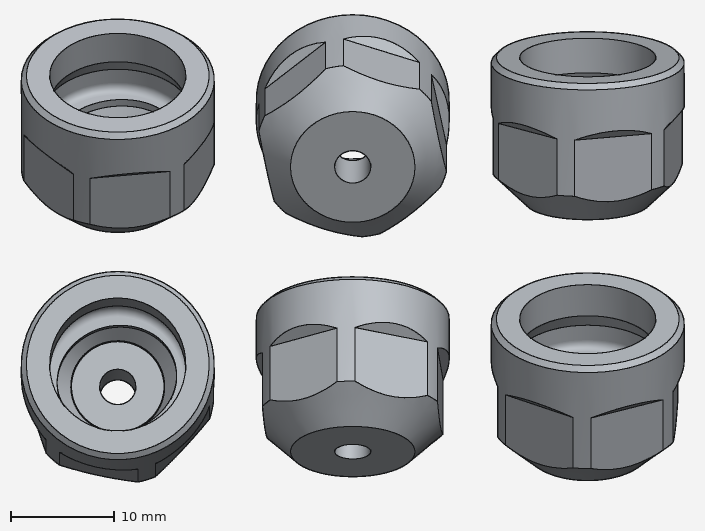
import cadquery as cq
import math

body_radius = 9.35
height = 14.6
top_chamfer = 0.5
base_radius = 6.02
base_chamfer = body_radius - base_radius

flat_count = 6
across_flats = 17.0
flat_top = 9.0
first_flat_angle = 30.0
cutter_margin = 0.19

bore_radius = 13.18 / 2
groove_radius = 14.5 / 2
bore_bottom = 11.1
groove_top = 9.67
bore_floor = 7.16
floor_fillet = 0.8

oval_center_x = -0.28
oval_radius_x = 5.24
oval_radius_y = 5.83
mouth_depth = 0.8
blend_depth = 1.5
seat_radius = 9.1 / 2
seat_step_width = 0.07
seat_step_depth = 0.11

through_radius = 3.5 / 2


def make_body():
    """Cylinder with a chamfered top edge and a conical base."""
    body = cq.Workplane("XY").circle(body_radius).extrude(height)
    return body.faces(">Z").chamfer(top_chamfer).faces("<Z").chamfer(base_chamfer)


def make_flat_cutter(angle):
    """Cutter for one flat, running out upward through a 45 degree slope."""
    flat_distance = across_flats / 2
    reach = body_radius - flat_distance + cutter_margin
    outer_distance = flat_distance + reach
    profile = [
        (flat_distance, 0),
        (outer_distance, 0),
        (outer_distance, flat_top + reach),
        (flat_distance, flat_top),
    ]
    cutter = cq.Workplane("XZ").polyline(profile).close().extrude(body_radius, both=True)
    return cutter.rotate((0, 0, 0), (0, 0, 1), angle)


def make_bore():
    """Revolved bore with a wider tapered groove and a rounded floor corner."""
    arc_inset = floor_fillet * (1 - math.cos(math.pi / 4))
    profile = (
        cq.Workplane("XZ")
        .moveTo(0, bore_floor)
        .lineTo(groove_radius - floor_fillet, bore_floor)
        .threePointArc(
            (groove_radius - arc_inset, bore_floor + arc_inset),
            (groove_radius, bore_floor + floor_fillet),
        )
        .lineTo(groove_radius, groove_top)
        .lineTo(bore_radius, bore_bottom)
        .lineTo(bore_radius, height)
        .lineTo(0, height)
        .close()
    )
    return profile.revolve(360, (0, 0, 0), (0, 1, 0))


def make_recess():
    """Straight oval mouth, blended down to a circular seat with a small step at the bottom."""
    blend_top = bore_floor - mouth_depth
    seat_height = blend_top - blend_depth
    mouth = (
        cq.Workplane("XY", origin=(oval_center_x, 0, blend_top))
        .ellipse(oval_radius_x, oval_radius_y)
        .extrude(mouth_depth)
    )
    blend = (
        cq.Workplane("XY", origin=(0, 0, seat_height))
        .circle(seat_radius)
        .workplane(offset=blend_depth)
        .center(oval_center_x, 0)
        .ellipse(oval_radius_x, oval_radius_y)
        .loft(combine=True)
    )
    step = (
        cq.Workplane("XY", origin=(0, 0, seat_height - seat_step_depth))
        .circle(seat_radius - seat_step_width)
        .extrude(seat_step_depth)
    )
    return mouth.union(blend).union(step)


result = make_body()
for index in range(flat_count):
    result = result.cut(make_flat_cutter(first_flat_angle + index * 360 / flat_count))
result = result.cut(make_bore()).cut(make_recess())
through_hole = cq.Workplane("XY").circle(through_radius).extrude(height)
result = result.cut(through_hole)